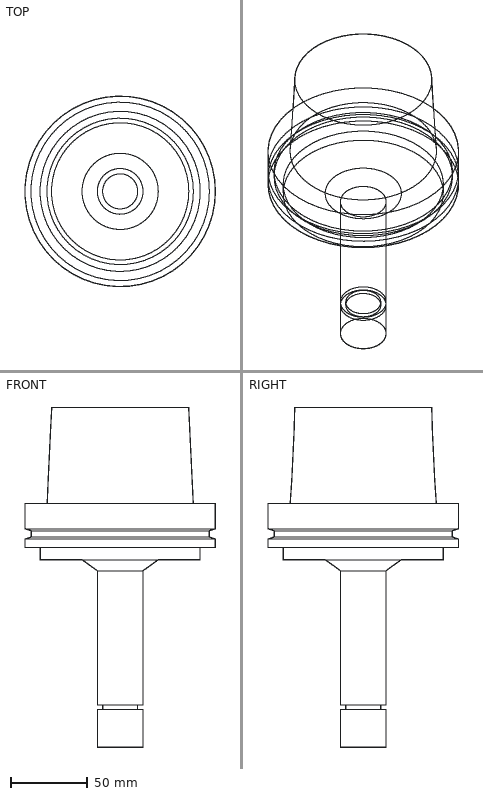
import cadquery as cq

taper_length = 63.0
taper_base_diameter = 96.0
taper_top_diameter = 90.0

flange_diameter = 125.0
flange_thickness = 29.0
groove_floor_diameter = 117.0
groove_centre_depth = 20.0
groove_width = 6.7
groove_floor_width = 4.0
groove_side_height = (groove_width - groove_floor_width) / 2

collar_diameter = 105.0
collar_thickness = 8.0

cone_top_diameter = 50.0
cone_height = 7.2
shank_diameter = 30.0

overall_reach = 160.0
tip_length = 25.0
neck_diameter = 23.0
neck_length = 2.7

groove_top = -groove_centre_depth + groove_width / 2
groove_bottom = groove_top - groove_width
flange_bottom = -flange_thickness
collar_bottom = flange_bottom - collar_thickness
cone_bottom = collar_bottom - cone_height
tip_bottom = -overall_reach
tip_top = tip_bottom + tip_length
shank_bottom = tip_top + neck_length


def make_holder():
    """Taper, flange, collar, shank and neck, turned about Z as one solid."""
    diameters_and_heights = [
        (taper_top_diameter, taper_length),
        (taper_base_diameter, 0),
        (flange_diameter, 0),
        (flange_diameter, groove_top),
        (groove_floor_diameter, groove_top - groove_side_height),
        (groove_floor_diameter, groove_bottom + groove_side_height),
        (flange_diameter, groove_bottom),
        (flange_diameter, flange_bottom),
        (collar_diameter, flange_bottom),
        (collar_diameter, collar_bottom),
        (cone_top_diameter, collar_bottom),
        (shank_diameter, cone_bottom),
        (shank_diameter, shank_bottom),
        (neck_diameter, shank_bottom),
        (neck_diameter, tip_top),
    ]
    outline = [(diameter / 2, height) for diameter, height in diameters_and_heights]
    axis_points = [(0, tip_top), (0, taper_length)]
    return cq.Workplane("XZ").polyline(outline + axis_points).close().revolve()


def make_tip():
    """Plain cylinder whose top face meets the end of the neck."""
    return cq.Workplane("XY").workplane(offset=tip_bottom).circle(shank_diameter / 2).extrude(tip_length)


holder = make_holder()
tip = make_tip()

result = cq.Compound.makeCompound([holder.val(), tip.val()])